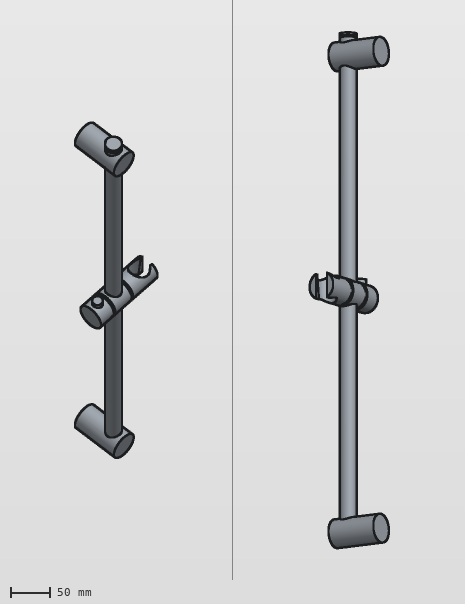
import cadquery as cq

total_height = 665.0
rail_diameter = 22.0

bracket_diameter = 37.0
bracket_length = 68.0
bracket_wall_reach = 50.0
cap_projection = 9.0
lower_bracket_z = bracket_diameter / 2
upper_bracket_z = total_height - cap_projection - bracket_diameter / 2

cap_thickness = 3.0
cap_groove_width = 2.0
cap_groove_depth = 0.5

slider_z = 328.0
slider_diameter = 36.0
slider_length = 106.0
slider_front_y = -42.5
joint_groove_offset = 16.5
joint_groove_width = 2.0
joint_core_diameter = 33.0

button_y = -30.0
button_diameter = 14.0
button_projection = 5.0

cradle_y = 48.0
cradle_top_diameter = 29.0
cradle_bottom_diameter = 22.0
cradle_mouth_width = 16.5


def bar_along_x(diameter, start, length, z):
    return cq.Workplane("YZ", origin=(start, 0, z)).circle(diameter / 2).extrude(length)


def bar_along_y(diameter, start, length, z):
    return cq.Workplane("XZ", origin=(0, start, z)).circle(diameter / 2).extrude(-length)


def bar_along_z(diameter, start, length, y=0):
    return cq.Workplane("XY", origin=(0, y, start)).circle(diameter / 2).extrude(length)


def make_rail():
    rail = bar_along_z(rail_diameter, lower_bracket_z, total_height - lower_bracket_z)
    groove_z = total_height - cap_thickness - cap_groove_width
    groove = bar_along_z(rail_diameter, groove_z, cap_groove_width)
    core = bar_along_z(rail_diameter - 2 * cap_groove_depth, groove_z, cap_groove_width)
    return rail.cut(groove.cut(core))


def make_bracket(z):
    return bar_along_x(bracket_diameter, -bracket_wall_reach, bracket_length, z)


def make_cradle_cutter():
    cone = (
        cq.Workplane("XY", origin=(0, cradle_y, slider_z - slider_diameter / 2))
        .circle(cradle_bottom_diameter / 2)
        .workplane(offset=slider_diameter)
        .circle(cradle_top_diameter / 2)
        .loft()
    )
    mouth_length = slider_front_y + slider_length - cradle_y
    mouth = (
        cq.Workplane("XY", origin=(0, cradle_y, slider_z))
        .box(cradle_mouth_width, mouth_length, slider_diameter, centered=(True, False, True))
    )
    return cone.union(mouth)


def make_slider():
    body = bar_along_y(slider_diameter, slider_front_y, slider_length, slider_z)
    for joint_y in (-joint_groove_offset, joint_groove_offset):
        groove_start = joint_y - joint_groove_width / 2
        groove = bar_along_y(slider_diameter, groove_start, joint_groove_width, slider_z)
        core = bar_along_y(joint_core_diameter, groove_start, joint_groove_width, slider_z)
        body = body.cut(groove.cut(core))
    button_height = slider_diameter / 2 + button_projection
    button = bar_along_z(button_diameter, slider_z, button_height, button_y)
    return body.union(button).cut(make_cradle_cutter())


result = make_rail().union(make_slider())
for bracket_z in (lower_bracket_z, upper_bracket_z):
    result = result.union(make_bracket(bracket_z))